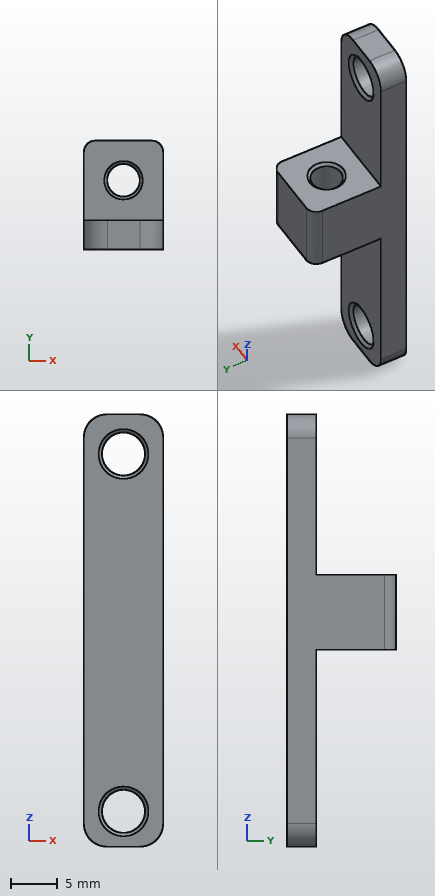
import cadquery as cq

width = 8.5
plate_height = 46.3
plate_thickness = 3.15
plate_corner_radius = 2.5
plate_hole_diameter = 4.6
plate_hole_spacing = 38.25
plate_hole_chamfer = 0.35
plate_hole_margin = width / 2


overall_depth = 11.65
block_height = 8.05
block_bottom = -2.1
block_corner_radius = 1.25
block_hole_diameter = 3.45
block_hole_chamfer = 0.32
block_hole_y = overall_depth - width / 2


def make_plate():
    """Plate with rounded corners and a chamfered screw hole near each end."""
    plate = (
        cq.Workplane("XY")
        .box(width, plate_thickness, plate_height, centered=(True, False, True))
        .edges("|Y")
        .fillet(plate_corner_radius)
    )
    upper_hole_z = plate_height / 2 - plate_hole_margin
    holes = (
        cq.Workplane("XZ")
        .pushPoints([(0, upper_hole_z), (0, upper_hole_z - plate_hole_spacing)])
        .circle(plate_hole_diameter / 2)
        .extrude(-plate_thickness)
    )
    plate = plate.cut(holes)
    return plate.faces("<Y or >Y").edges("%CIRCLE").edges(
        cq.selectors.RadiusNthSelector(0)
    ).chamfer(plate_hole_chamfer)


def make_block():
    """Block with rounded back corners and a vertical through hole."""
    block = (
        cq.Workplane("XY")
        .workplane(offset=block_bottom)
        .box(width, overall_depth, block_height, centered=(True, False, False))
        .edges("|Z and >Y")
        .fillet(block_corner_radius)
    )
    hole = (
        cq.Workplane("XY")
        .workplane(offset=block_bottom)
        .center(0, block_hole_y)
        .circle(block_hole_diameter / 2)
        .extrude(block_height)
    )
    block = block.cut(hole)
    return block.faces("<Z or >Z").edges("%CIRCLE").edges(
        cq.selectors.RadiusNthSelector(-1)
    ).chamfer(block_hole_chamfer)


result = make_plate().union(make_block())